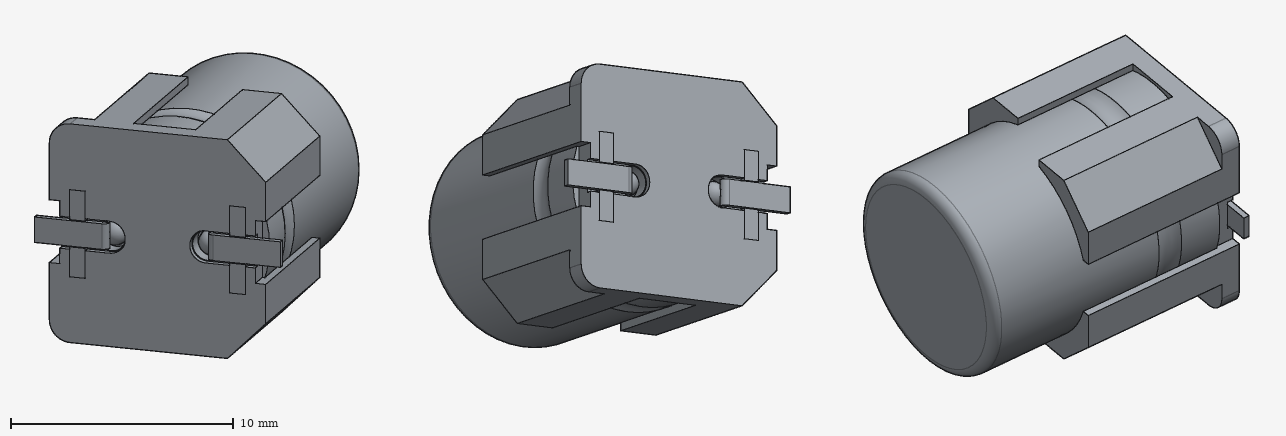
import cadquery as cq


BASE_SIDE = 10.3
BASE_FACE_Y = 0.01
FLOOR_THICKNESS = 1.0
FLOOR_TOP_Y = BASE_FACE_Y + FLOOR_THICKNESS
FLOOR_CORNER_RADIUS = 1.0
CORNER_CHAMFER = 1.82
POST_GAP = 2.95
ROUNDED_SIDE_POST_TOP_Y = 8.54
CHAMFERED_SIDE_POST_TOP_Y = 7.5
SIDE_NOTCH_DEPTH = 0.5

CAN_RADIUS = 5.0
CAN_TOP_Y = 13.8
CAN_TOP_FILLET = 0.5
CRIMP_CENTRE_Y = 3.8
CRIMP_WIDTH = 1.27
CRIMP_DEPTH = 0.18

LEAD_SPAN = 11.7
LEAD_WIDTH = 1.2
LEAD_THICKNESS = 0.3
LEAD_BEND_X = 2.35
LEAD_BEND_RADIUS = 0.29
WIRE_X = 2.29
WIRE_RADIUS = LEAD_WIDTH / 2
WIRE_TIP_Y = 0.28

GROOVE_WIDTH = 1.5
WIRE_HOLE_RADIUS = 0.72

BAR_WIDTH = 0.75
BAR_LENGTH = 4.1
BAR_CENTRE_X = 3.81
BAR_BACK_Y = 0.55
BAR_CHANNEL_WIDTH = 1.28

SIDES = (-1, 1)


def block(x_range, y_range, z_size):
    """Box between two X values and two Y values, centred on Z = 0."""
    x_low, x_high = sorted(x_range)
    y_low, y_high = y_range
    return cq.Workplane("XY").box(x_high - x_low, y_high - y_low, z_size).translate(
        ((x_low + x_high) / 2, (y_low + y_high) / 2, 0)
    )


def y_cylinder(radius, y_low, y_high, x=0):
    """Cylinder along Y between two Y values."""
    return cq.Workplane("XZ", origin=(x, y_low, 0)).circle(radius).extrude(y_low - y_high)


def make_can():
    """Round can with a rounded top edge and a crimped groove around it."""
    crimp_start_y = CRIMP_CENTRE_Y - CRIMP_WIDTH / 2
    crimp_end_y = CRIMP_CENTRE_Y + CRIMP_WIDTH / 2
    crimp_bottom = (CAN_RADIUS - CRIMP_DEPTH, CRIMP_CENTRE_Y)
    profile = (
        cq.Workplane("XY")
        .moveTo(0, FLOOR_TOP_Y)
        .lineTo(CAN_RADIUS, FLOOR_TOP_Y)
        .lineTo(CAN_RADIUS, crimp_start_y)
        .threePointArc(crimp_bottom, (CAN_RADIUS, crimp_end_y))
        .lineTo(CAN_RADIUS, CAN_TOP_Y)
        .lineTo(0, CAN_TOP_Y)
        .close()
    )
    can = profile.revolve(360, (0, 0, 0), (0, 1, 0))
    return can.faces(">Y").edges().fillet(CAN_TOP_FILLET)


def make_floor():
    """Square base plate, rounded at the -X corners and chamfered at the +X corners."""
    half_side = BASE_SIDE / 2
    floor = block((-half_side, half_side), (BASE_FACE_Y, FLOOR_TOP_Y), BASE_SIDE)
    floor = floor.faces("<X").edges("|Y").fillet(FLOOR_CORNER_RADIUS)
    return floor.faces(">X").edges("|Y").chamfer(CORNER_CHAMFER)


def make_posts(side, top_y):
    """Two chamfered corner posts on one X side, hollowed to the can radius."""
    half_side = BASE_SIDE / 2
    posts = block((-half_side, half_side), (FLOOR_TOP_Y, top_y), BASE_SIDE)
    posts = posts.edges("|Y").chamfer(CORNER_CHAMFER)
    kept_half = block((side * POST_GAP / 2, side * BASE_SIDE), (FLOOR_TOP_Y, top_y), BASE_SIDE)
    side_gap = block((0, side * BASE_SIDE), (FLOOR_TOP_Y, top_y), POST_GAP)
    can_space = y_cylinder(CAN_RADIUS, FLOOR_TOP_Y, top_y)
    return posts.intersect(kept_half).cut(side_gap).cut(can_space)


def bar_blank(side):
    """Full solder bar outline, also the pocket that holds it in the base."""
    centre_x = side * BAR_CENTRE_X
    x_range = (centre_x - BAR_WIDTH / 2, centre_x + BAR_WIDTH / 2)
    return block(x_range, (BASE_FACE_Y, BAR_BACK_Y), BAR_LENGTH)


def make_base():
    """Floor with four corner posts, side notches, lead grooves, wire holes and bar pockets."""
    base = make_floor()
    base = base.union(make_posts(-1, ROUNDED_SIDE_POST_TOP_Y))
    base = base.union(make_posts(1, CHAMFERED_SIDE_POST_TOP_Y))
    notch_x = BASE_SIDE / 2 - SIDE_NOTCH_DEPTH
    for side in SIDES:
        base = base.cut(block((side * notch_x, side * BASE_SIDE), (BASE_FACE_Y, FLOOR_TOP_Y), POST_GAP))
        base = base.cut(block((side * WIRE_X, side * notch_x), (BASE_FACE_Y, LEAD_THICKNESS), GROOVE_WIDTH))
        groove_end = y_cylinder(GROOVE_WIDTH / 2, BASE_FACE_Y, LEAD_THICKNESS, side * WIRE_X)
        wire_hole = y_cylinder(WIRE_HOLE_RADIUS, LEAD_THICKNESS, FLOOR_TOP_Y, side * WIRE_X)
        base = base.cut(groove_end).cut(wire_hole)
        base = base.cut(bar_blank(side))
    return base


def make_lead(side):
    """Flat lead with a rounded bend, joined to a round wire that ends in a ball."""
    strip = block((side * LEAD_BEND_X, side * LEAD_SPAN / 2), (0, LEAD_THICKNESS), LEAD_WIDTH)
    inner_face = "<X" if side > 0 else ">X"
    strip = strip.faces("<Y").edges(inner_face).fillet(LEAD_BEND_RADIUS)
    ball_y = WIRE_TIP_Y + WIRE_RADIUS
    inner_radius = -side * WIRE_RADIUS
    wire_profile = (
        cq.Workplane("XY", origin=(side * WIRE_X, 0, 0))
        .moveTo(0, WIRE_TIP_Y)
        .radiusArc((inner_radius, ball_y), side * WIRE_RADIUS)
        .lineTo(inner_radius, FLOOR_TOP_Y)
        .lineTo(0, FLOOR_TOP_Y)
        .close()
    )
    wire = wire_profile.revolve(360, (0, 0, 0), (0, 1, 0))
    return strip.union(wire)


def make_solder_bar(side):
    """Bar flush with the base face, with a channel where the lead crosses it."""
    channel = block((0, side * BASE_SIDE), (0, LEAD_THICKNESS), BAR_CHANNEL_WIDTH)
    return bar_blank(side).cut(channel)


can = make_can()
base = make_base()
leads = [make_lead(side) for side in SIDES]
solder_bars = [make_solder_bar(side) for side in SIDES]

result = cq.Compound.makeCompound(
    [can.val(), base.val()]
    + [lead.val() for lead in leads]
    + [bar.val() for bar in solder_bars]
)